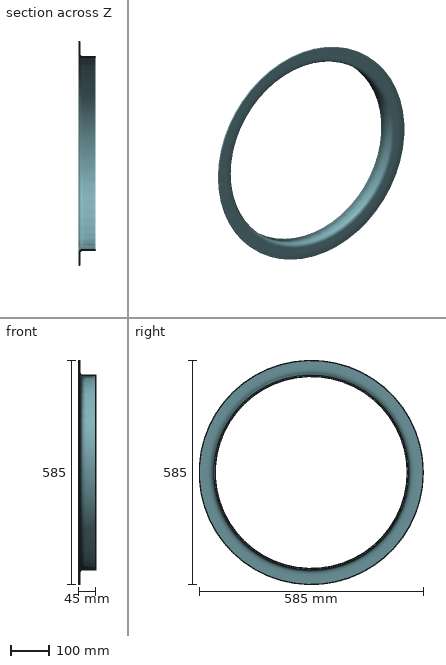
import cadquery as cq
import math

flange_diameter = 585.0
tube_outer_diameter = 508.0
tube_inner_diameter = 500.0
collar_length = 45.0
mouth_radius = 10.0

flange_radius = flange_diameter / 2
outer_radius = tube_outer_diameter / 2
bore_radius = tube_inner_diameter / 2
wall = outer_radius - bore_radius

root_radius = mouth_radius - wall
bend_x = mouth_radius
bend_y = bore_radius + mouth_radius


def bend_midpoint(radius):
    """Middle of the quarter-circle bend of the given radius."""
    offset = radius * math.sqrt(0.5)
    return (bend_x - offset, bend_y - offset)


section = (
    cq.Workplane("XY")
    .moveTo(0, flange_radius)
    .lineTo(0, bend_y)
    .threePointArc(bend_midpoint(mouth_radius), (bend_x, bore_radius))
    .lineTo(collar_length, bore_radius)
    .lineTo(collar_length, outer_radius)
    .lineTo(bend_x, outer_radius)
    .threePointArc(bend_midpoint(root_radius), (wall, bend_y))
    .lineTo(wall, flange_radius)
    .close()
)

result = section.revolve(360, (0, 0, 0), (1, 0, 0))